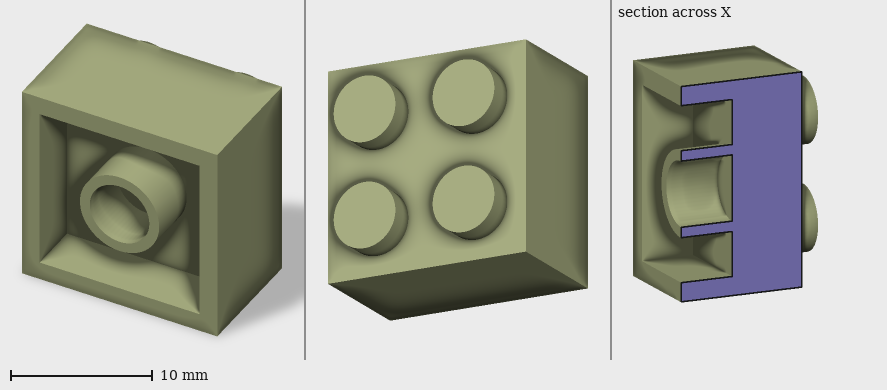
import cadquery as cq

side = 15.75
total_depth = 11.4
stud_height = 1.97
body_depth = total_depth - stud_height
wall = 1.43
cavity_depth = 3.98
tube_outer_diameter = 6.4
tube_inner_diameter = 4.8
stud_diameter = 4.91
stud_pitch = side / 2
studs_per_side = 2


def prism_along_y(profile, start, length):
    """Extrude a profile drawn in the XZ plane toward +Y from Y = start."""
    return profile.extrude(-length).translate((0, start, 0))


def xz_sketch():
    return cq.Workplane("XZ")


body = prism_along_y(xz_sketch().rect(side, side), 0, body_depth)
cavity_side = side - 2 * wall
cavity = prism_along_y(xz_sketch().rect(cavity_side, cavity_side), 0, cavity_depth)

tube_profile = xz_sketch().circle(tube_outer_diameter / 2).circle(tube_inner_diameter / 2)
tube = prism_along_y(tube_profile, 0, cavity_depth)

stud_profiles = (
    xz_sketch()
    .rarray(stud_pitch, stud_pitch, studs_per_side, studs_per_side)
    .circle(stud_diameter / 2)
)
studs = prism_along_y(stud_profiles, body_depth, stud_height)

result = body.cut(cavity).union(tube).union(studs)